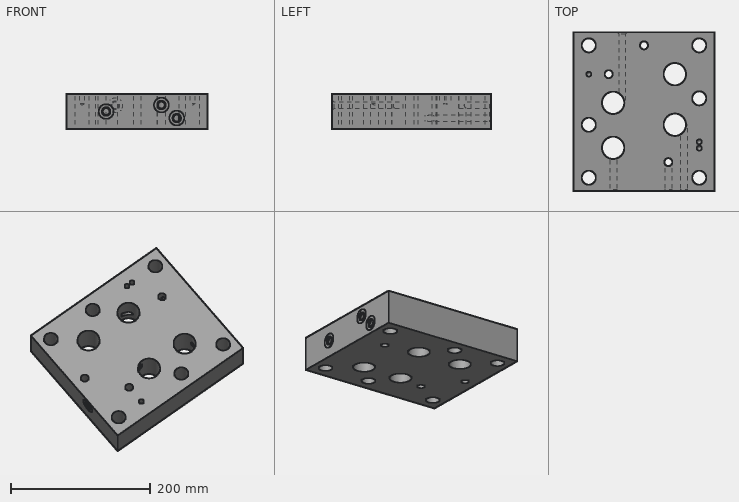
import cadquery as cq
import math

LENGTH_X = 203.2
LENGTH_Y = 228.5
HEIGHT = 50.7
FRONT_Y = -LENGTH_Y / 2
TOP_Z = HEIGHT / 2

BOLT_DIAMETER = 20.0
BOLT_X = 79.3
BOLT_CORNER_Y = 95.0
BOLT_SIDE_Y = 19.0

MAIN_DIAMETER = 31.8
MAIN_X = 44.3
UPPER_RIGHT_MAIN_Y = 53.7
LOWER_RIGHT_MAIN_Y = -BOLT_SIDE_Y
UPPER_LEFT_MAIN_Y = 12.5
LOWER_LEFT_MAIN_Y = -52.1

PILOT_DIAMETER = 11.2
LEFT_PILOT_X = -50.7
FRONT_PILOT_X = 35.0
FRONT_PILOT_Y = -72.7

PIN_DIAMETER = 7.0
PIN_DEPTH = 13.7
PIN_PAIR_Y = -48.0
PIN_PAIR_SPACING = 9.1
DRILL_POINT_ANGLE = 118.0

SPOTFACE_DIAMETER = 21.3
SPOTFACE_DEPTH = 0.2
SEAT_MOUTH_DIAMETER = 12.3
SEAT_DEPTH = 2.3
PORT_DIAMETER = 9.8
OFF_AXIS_SHIFT = 12.8
PORT_OFFSET_Z = 9.4


def drill_through(block, diameter, centres):
    """Drill vertical through holes at the given XY centres."""
    return block.cut(
        cq.Workplane("XY", origin=(0, 0, -TOP_Z)).pushPoints(centres).circle(diameter / 2).extrude(HEIGHT)
    )


def pin_hole(x, y):
    """Blind hole cutter whose conical point lies below the full-diameter depth."""
    radius = PIN_DIAMETER / 2
    point_depth = radius / math.tan(math.radians(DRILL_POINT_ANGLE / 2))
    profile = [(0, 0), (radius, 0), (radius, -PIN_DEPTH), (0, -PIN_DEPTH - point_depth)]
    cutter = cq.Workplane("XZ").polyline(profile).close().revolve(360, (0, 0), (0, 1))
    return cutter.translate((x, y, TOP_Z))


def front_port(x, z, end_y):
    """Front-face port cutter with a spotface and a tapered seat, bored to end_y."""
    spotface = SPOTFACE_DIAMETER / 2
    mouth = SEAT_MOUTH_DIAMETER / 2
    bore = PORT_DIAMETER / 2
    seat_end = SPOTFACE_DEPTH + SEAT_DEPTH
    bore_end = end_y - FRONT_Y
    profile = [
        (0, 0),
        (spotface, 0),
        (spotface, SPOTFACE_DEPTH),
        (mouth, SPOTFACE_DEPTH),
        (bore, seat_end),
        (bore, bore_end),
        (0, bore_end),
    ]
    cutter = cq.Workplane("XY").polyline(profile).close().revolve(360, (0, 0), (0, 1))
    return cutter.translate((x, FRONT_Y, z))


result = cq.Workplane("XY").box(LENGTH_X, LENGTH_Y, HEIGHT)

bolt_centres = [(sx * BOLT_X, sy * BOLT_CORNER_Y) for sx in (-1, 1) for sy in (-1, 1)]
bolt_centres += [(side * BOLT_X, side * BOLT_SIDE_Y) for side in (-1, 1)]
main_centres = [
    (MAIN_X, UPPER_RIGHT_MAIN_Y),
    (MAIN_X, LOWER_RIGHT_MAIN_Y),
    (-MAIN_X, UPPER_LEFT_MAIN_Y),
    (-MAIN_X, LOWER_LEFT_MAIN_Y),
]
pilot_centres = [
    (0, BOLT_CORNER_Y),
    (LEFT_PILOT_X, UPPER_RIGHT_MAIN_Y),
    (FRONT_PILOT_X, FRONT_PILOT_Y),
]
result = drill_through(result, BOLT_DIAMETER, bolt_centres)
result = drill_through(result, MAIN_DIAMETER, main_centres)
result = drill_through(result, PILOT_DIAMETER, pilot_centres)

pin_centres = [(-BOLT_X, UPPER_RIGHT_MAIN_Y)]
pin_centres += [(BOLT_X, PIN_PAIR_Y + side * PIN_PAIR_SPACING / 2) for side in (-1, 1)]
for x, y in pin_centres:
    result = result.cut(pin_hole(x, y))

front_ports = [
    (-MAIN_X, 0, LOWER_LEFT_MAIN_Y),
    (FRONT_PILOT_X, PORT_OFFSET_Z, FRONT_PILOT_Y),
    (MAIN_X + OFF_AXIS_SHIFT, -PORT_OFFSET_Z, LOWER_RIGHT_MAIN_Y),
]
for x, z, end_y in front_ports:
    result = result.cut(front_port(x, z, end_y))

back_port = front_port(-MAIN_X + OFF_AXIS_SHIFT, PORT_OFFSET_Z, -UPPER_LEFT_MAIN_Y).mirror("XZ")
result = result.cut(back_port)